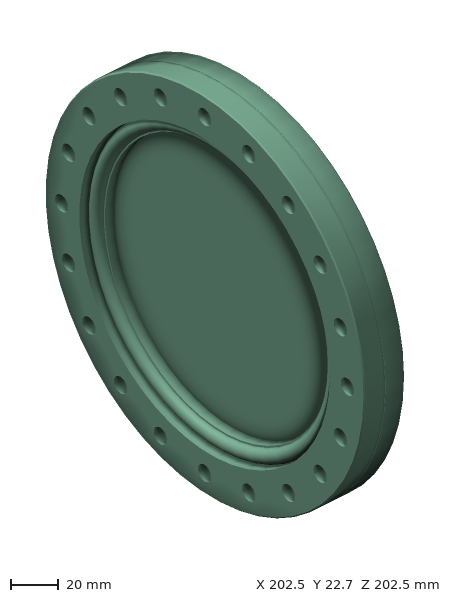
import cadquery as cq


ring_diameter = 202.5
thickness = 22.7
bore_diameter = 158.7
edge_chamfer = 0.6
groove_width = 1.0
groove_depth = 0.2
bolt_count = 20
bolt_hole_diameter = 8.3
bolt_circle_diameter = 181.0

wire_inner_diameter = 143.7
wire_diameter = (bore_diameter - wire_inner_diameter) / 2
wire_depth = 7.0

recess_diameter = 142.1
floor_depth = 12.1

front_y = -thickness / 2
back_y = thickness / 2
ring_radius = ring_diameter / 2
bore_radius = bore_diameter / 2
recess_radius = recess_diameter / 2
wire_circle_radius = (wire_inner_diameter + wire_diameter) / 2
wire_y = front_y + wire_depth
floor_y = front_y + floor_depth


def revolve_about_y(profile):
    """Turn a closed (radius, Y) profile in the XY plane once around the Y axis."""
    return profile.revolve(360, (0, 0, 0), (0, 1, 0))


def make_wire_ring():
    section = cq.Workplane("XY").moveTo(wire_circle_radius, wire_y).circle(wire_diameter / 2)
    return revolve_about_y(section)


def make_bolt_ring():
    """Chamfered ring with a shallow groove around the middle of its rim and a circle of through holes."""
    groove_radius = ring_radius - groove_depth
    profile = (
        cq.Workplane("XY")
        .moveTo(bore_radius, front_y)
        .lineTo(ring_radius - edge_chamfer, front_y)
        .lineTo(ring_radius, front_y + edge_chamfer)
        .lineTo(ring_radius, -groove_width / 2)
        .lineTo(groove_radius, -groove_width / 2)
        .lineTo(groove_radius, groove_width / 2)
        .lineTo(ring_radius, groove_width / 2)
        .lineTo(ring_radius, back_y - edge_chamfer)
        .lineTo(ring_radius - edge_chamfer, back_y)
        .lineTo(bore_radius, back_y)
        .close()
    )
    bolt_holes = (
        cq.Workplane("XZ", origin=(0, back_y, 0))
        .polarArray(bolt_circle_diameter / 2, 0, 360, bolt_count)
        .circle(bolt_hole_diameter / 2)
        .extrude(thickness)
    )
    return revolve_about_y(profile).cut(bolt_holes)


def make_blank_disc(seated_wire):
    """Disc that fills the bore, with a flat recess and a rim that cradles the back half of the wire."""
    profile = (
        cq.Workplane("XY")
        .moveTo(0, floor_y)
        .lineTo(recess_radius, floor_y)
        .lineTo(recess_radius, wire_y)
        .lineTo(bore_radius, wire_y)
        .lineTo(bore_radius, back_y)
        .lineTo(0, back_y)
        .close()
    )
    return revolve_about_y(profile).cut(seated_wire)


bolt_ring = make_bolt_ring()
wire_ring = make_wire_ring()
blank_disc = make_blank_disc(wire_ring)

result = cq.Compound.makeCompound([bolt_ring.val(), blank_disc.val(), wire_ring.val()])